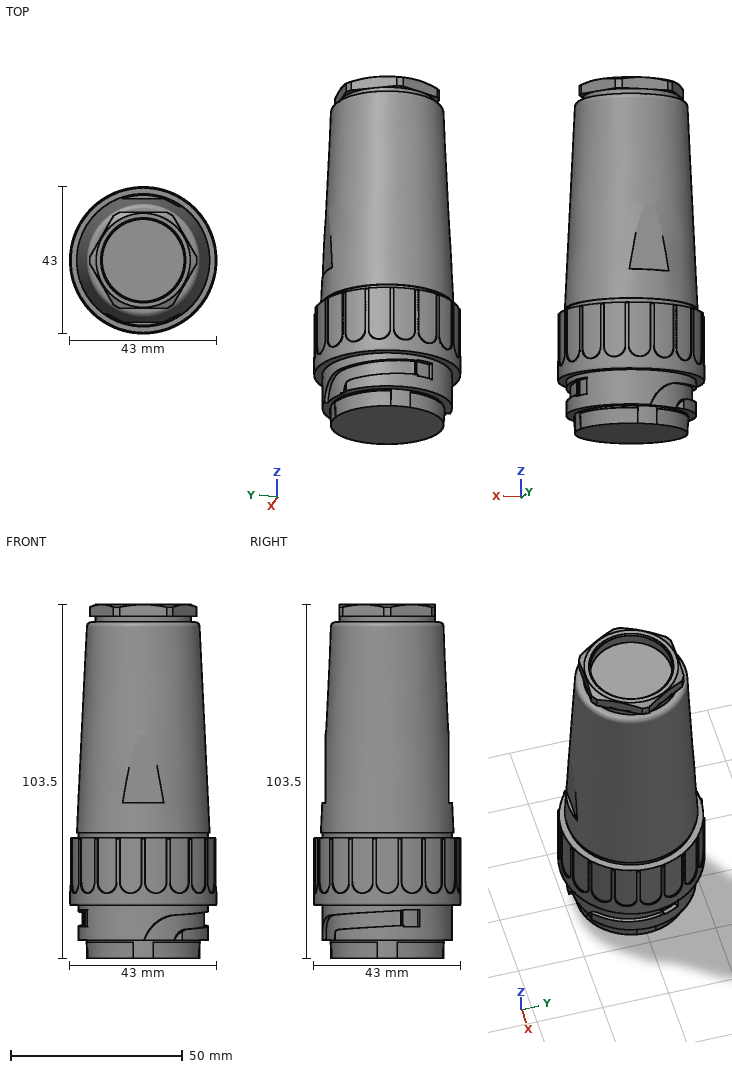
import cadquery as cq
import math

total_height = 103.5
pad_top = 4.7
socket_top = 5.3
ring_bottom = 15.5
ring_top = 35.2
body_bottom = 36.7
body_top = 98.3
nut_bottom = 100.0

socket_radius = 33.0 / 2
collar_radius = 38.0 / 2
ring_radius = 43.0 / 2
body_bottom_radius = 19.5
body_top_radius = 16.5
body_top_fillet = 1.5
neck_radius = 28.0 / 2

pad_count = 4
pad_top_radius = 16.9
pad_gap_width = 5.8

flute_count = 18
flute_floor_radius = 21.1
flute_width = 6.4
flute_bottom = 19.0
ridge_chamfer = 0.3
ring_bevel_height = 0.6
ring_bevel_depth = 0.1

flat_distance = 36.1 / 2
flat_bottom = 45.4

nut_sides = 6
nut_corner_radius = 15.6
nut_top_radius = 13.8
nut_chamfer_height = 0.8
bore_radius = 24.0 / 2
bore_depth = 3.5
bore_chamfer = 0.4

track_floor_radius = 17.9
upper_arc_center = (10.2, 2.2)
upper_arc_radius = 10.5
lower_arc_center = (14.6, 3.7)
lower_arc_radius = 4.8
track_slope = 3.2
track_end_angle = 104.8
track_stations = 7
bump_start_angle = 99.5
bump_peak_angle = 102.6
bump_height = 0.3
pocket_end_angle = 120.3
pocket_floor_radius = 17.6
pocket_bottom = 9.2
pocket_top = 14.2
lead_in_start_angle = 30.5
lead_in_end_angle = 37.0
lead_in_top = 8.7
track_start_angle = -90.0
cutter_inner_radius = 14.5
cutter_outer_radius = 22.8

full_turn = 360.0
half_turn = full_turn / 2


def cylinder(radius, bottom, top):
    return cq.Workplane("XY").workplane(offset=bottom).circle(radius).extrude(top - bottom)


def revolve_profile(points):
    """Revolve a closed (radius, height) outline about the Z axis."""
    return cq.Workplane("XZ").polyline(points).close().revolve(full_turn, (0, 0), (0, 1))


def polar(radius, angle):
    radians = math.radians(angle)
    return (radius * math.cos(radians), radius * math.sin(radians))


def make_pads():
    pads = revolve_profile([
        (0, 0), (socket_radius, 0), (pad_top_radius, pad_top), (0, pad_top),
    ])
    gap = cq.Workplane("XY").box(3 * ring_radius, pad_gap_width, 3 * pad_top)
    for index in range(pad_count // 2):
        pads = pads.cut(gap.rotate((0, 0, 0), (0, 0, 1), index * full_turn / pad_count))
    return pads


def make_grip_ring():
    ring = revolve_profile([
        (0, ring_bottom),
        (ring_radius - ring_bevel_depth, ring_bottom),
        (ring_radius, ring_bottom + ring_bevel_height),
        (ring_radius, ring_top - ridge_chamfer),
        (ring_radius - ridge_chamfer, ring_top),
        (0, ring_top),
    ])
    half_width = flute_width / 2
    arc_level = flute_bottom + half_width
    flute = (
        cq.Workplane("XZ")
        .moveTo(-half_width, ring_top)
        .lineTo(-half_width, arc_level)
        .threePointArc((0, flute_bottom), (half_width, arc_level))
        .lineTo(half_width, ring_top)
        .close()
        .extrude(2 * ring_radius)
        .cut(cylinder(flute_floor_radius, 0, total_height))
    )
    pitch = full_turn / flute_count
    for index in range(flute_count):
        ring = ring.cut(flute.rotate((0, 0, 0), (0, 0, 1), (index + 0.5) * pitch))
    return ring


def make_body():
    body = revolve_profile([
        (0, body_bottom), (body_bottom_radius, body_bottom), (body_top_radius, body_top), (0, body_top),
    ])
    body = body.faces(">Z").edges().fillet(body_top_fillet)
    block_size = 2 * ring_radius
    for side in (-1, 1):
        block = (
            cq.Workplane("XY")
            .box(block_size, block_size, body_top - flat_bottom, centered=(True, True, False))
            .translate((0, side * (flat_distance + block_size / 2), flat_bottom))
        )
        body = body.cut(block)
    return body


def make_nut():
    across_corners = 2 * neck_radius / math.cos(math.radians(half_turn / nut_sides))
    hexagon = (
        cq.Workplane("XY")
        .workplane(offset=nut_bottom)
        .polygon(nut_sides, across_corners)
        .extrude(total_height - nut_bottom)
    )
    turned_blank = revolve_profile([
        (0, nut_bottom),
        (nut_corner_radius, nut_bottom),
        (nut_corner_radius, total_height - nut_chamfer_height),
        (nut_top_radius, total_height),
        (0, total_height),
    ])
    bore_floor = total_height - bore_depth
    bore = revolve_profile([
        (0, bore_floor),
        (bore_radius, bore_floor),
        (bore_radius, total_height - bore_chamfer),
        (bore_radius + bore_chamfer, total_height),
        (0, total_height),
    ])
    neck = cylinder(neck_radius, body_top, nut_bottom)
    return hexagon.intersect(turned_blank).union(neck).cut(bore)


def point_on_arc(center, radius, angle):
    across, up = polar(radius, angle)
    return (center[0] + across, center[1] + up)


def track_solid(wall_pairs):
    """Solid between an upper and a lower wall that both run radially out from the Z axis."""
    upper_wall, lower_wall = zip(*wall_pairs)
    corner_lines = []
    for wall, radius in (
        (upper_wall, cutter_inner_radius),
        (upper_wall, cutter_outer_radius),
        (lower_wall, cutter_outer_radius),
        (lower_wall, cutter_inner_radius),
    ):
        points = []
        for distance, height in wall:
            x, y = polar(radius, math.degrees(distance / collar_radius))
            points.append(cq.Vector(x, y, height))
        corner_lines.append(cq.Edge.makeSpline(points))

    faces = []
    for index, line in enumerate(corner_lines):
        faces.append(cq.Face.makeRuledSurface(corner_lines[index - 1], line))
    for corners in (
        [line.startPoint() for line in corner_lines],
        [line.endPoint() for line in corner_lines],
    ):
        upper_edge = cq.Edge.makeLine(corners[0], corners[1])
        lower_edge = cq.Edge.makeLine(corners[3], corners[2])
        faces.append(cq.Face.makeRuledSurface(upper_edge, lower_edge))
    return cq.Workplane(cq.Solid.makeSolid(cq.Shell.makeShell(faces)).fix())


def sector(floor_radius, start_angle, end_angle, bottom, top):
    """Block between two radial planes, outside the given floor radius."""
    wedge = (
        cq.Workplane("XY")
        .workplane(offset=bottom)
        .polyline([(0, 0), polar(2 * ring_radius, start_angle), polar(2 * ring_radius, end_angle)])
        .close()
        .extrude(top - bottom)
    )
    return wedge.cut(cylinder(floor_radius, 0, total_height))


def make_bayonet_track():
    """Curved entry with a bevelled tip, rising track, detent bump and end pocket."""
    fractions = [index / (track_stations - 1) for index in range(track_stations)]
    arc_end_angle = 90 + track_slope
    entry_walls = []
    for fraction in fractions:
        angle = half_turn + fraction * (arc_end_angle - half_turn)
        entry_walls.append((
            point_on_arc(upper_arc_center, upper_arc_radius, angle),
            point_on_arc(lower_arc_center, lower_arc_radius, angle),
        ))

    track_end = collar_radius * math.radians(track_end_angle)
    rise = math.tan(math.radians(track_slope))
    rising_walls = []
    for fraction in fractions:
        walls = []
        for start, height in entry_walls[-1]:
            run = fraction * (track_end - start)
            walls.append((start + run, height + run * rise))
        rising_walls.append(tuple(walls))

    bump = (
        cq.Workplane("XY")
        .polyline([
            (0, 0),
            polar(track_floor_radius, bump_start_angle),
            polar(track_floor_radius + bump_height, bump_peak_angle),
            polar(pocket_floor_radius, track_end_angle),
        ])
        .close()
        .extrude(ring_bottom)
    )
    pocket = sector(pocket_floor_radius, track_end_angle, pocket_end_angle, pocket_bottom, pocket_top)
    lead_in = (
        cq.Workplane("XY")
        .polyline([
            polar(track_floor_radius, lead_in_start_angle),
            polar(cutter_outer_radius, lead_in_start_angle),
            polar(cutter_outer_radius, lead_in_end_angle),
            polar(collar_radius, lead_in_end_angle),
        ])
        .close()
        .extrude(lead_in_top)
    )
    return (
        track_solid(entry_walls)
        .union(track_solid(rising_walls))
        .cut(cylinder(track_floor_radius, 0, total_height))
        .cut(bump)
        .union(pocket)
        .union(lead_in)
    )


def make_collar():
    collar = cylinder(collar_radius, socket_top, body_bottom)
    track = make_bayonet_track()
    for turn in (0, half_turn):
        collar = collar.cut(track.rotate((0, 0, 0), (0, 0, 1), track_start_angle + turn))
    return collar


result = (
    cylinder(socket_radius, 0, socket_top)
    .union(make_pads())
    .union(make_collar())
    .union(make_grip_ring())
    .union(make_body())
    .union(make_nut())
)